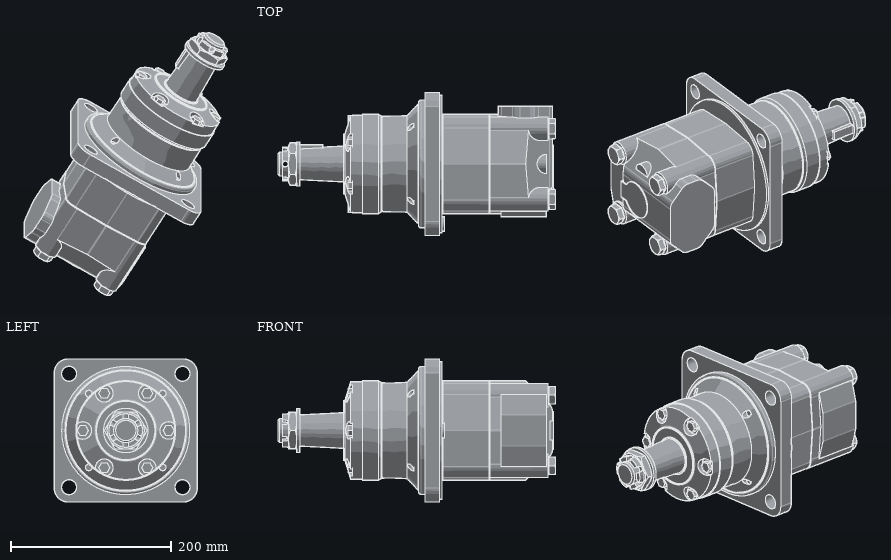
import cadquery as cq
import math


NUT_FRONT = 6.0
HEX_FRONT = 13.5
WASHER_FRONT = 23.5
TAPER_FRONT = 27.7
COVER_FRONT = 82.0
LEDGE_END = 84.0
CONE_END = 90.8
BAND_FRONT = 105.5
BAND_END = 125.5
HOUSING_FRONT = 129.0
NECK_END = 161.0
FLARE_END = 174.7
PILOT_FRONT = 175.5
FLANGE_FRONT = 183.5
FLANGE_BACK = 201.7
DISC_BACK = 205.0
GEAR_BACK = 263.5
SIDE_PAD_FRONT = 278.3
SIDE_PAD_BACK = 334.8
BOSS_END = 337.2
END_BACK = 342.8
TOTAL_LENGTH = 346.5

JOINT_GAP = 1.0
JOINT_D = 115.8
NECK_START = HOUSING_FRONT + JOINT_GAP
GEAR_FRONT = DISC_BACK + JOINT_GAP
END_FRONT = GEAR_BACK + JOINT_GAP

THREAD_D = 30.0
THREAD_CHAMFER = 2.5
TAPER_SMALL_D = 39.5
TAPER_LARGE_D = 45.0
COTTER_D = 7.0
COTTER_X = NUT_FRONT + COTTER_D / 2
KEY_LENGTH = 28.5
KEY_WIDTH = 12.0
KEY_TOP = 24.3
KEY_BOTTOM = 16.3
CASTLE_D = 42.0
SLOT_COUNT = 6
HEX_FLATS = 46.0
HEX_CHAMFER = 1.7
WASHER_D = 55.5

COVER_FACE_D = 75.0
LEDGE_D = 77.0
FACE_RECESS_D = 72.8
FACE_COLLAR_D = 48.5
FACE_RECESS_DEPTH = 1.5
COVER_D = 122.0
SCREW_COUNT = 6
SCREW_CIRCLE_D = 107.0
SCREW_POCKET_D = 22.0
SCREW_HEAD_FLATS = 12.0
SCREW_HEAD_FRONT = 87.7
SCREW_POCKET_FLOOR = 93.0

BAND_D = 124.5
BAND_BACK_D = 120.0

NECK_FRONT_D = 119.2
NECK_BACK_D = 120.5
FLARE_D = 149.0
PILOT_D = 159.8
PILOT_FILLET = 3.0
RELIEF_D = 151.0
RELIEF_DEPTH = 1.7
FLANGE_SIDE = 179.0
FLANGE_CORNER_R = 18.0
MOUNT_HOLE_D = 18.5
MOUNT_PITCH = 141.5
REAR_DISC_D = 172.0
FLARE_HOLE_COUNT = 4
FLARE_HOLE_ANGLE = 45
FLARE_HOLE_D = 8.3
FLARE_HOLE_CIRCLE_D = 130.3
FLARE_HOLE_FLOOR = 170.0
PLUG_D = 18.5
PLUG_HEIGHT = 3.0
PLUG_Y = -75.0

RIDGE = 62.0
CORNER_D = 28.8
CORNER_OFFSET = 44.0
BOSS_D = 29.5
RIDGE_FLAT = 1.0
ROOF_EDGE = (42.3, 58.5)
PORT_HALF_WIDTH = 34.0
PORT_HALF_HEIGHT = 50.3
PORT_FILLET = 13.0
PORT_X = END_BACK - PORT_HALF_WIDTH
SLOPE_REACH = 62.5
PORT_FACE_Y = 72.0
SIDE_PAD_ROOT = -34.5
SIDE_PAD_POINTS = [(-66.0, 19.0), (-59.0, 45.0)]
HUMP_D = 24.3
HUMP_Z = 35.7
RIB_WIDTH = 24.0
RIB_END = -31.5
END_DISC_D = 48.0
END_DISC_HEIGHT = 1.0

BOLT_FLATS = 22.2
BOLT_CHAMFER = 1.5
BOLT_COLLAR_D = 20.0
BOLT_COLLAR = 1.0


def cylinder(diameter, start, end, y=0, z=0):
    """Cylinder along X between two stations."""
    plane = cq.Workplane("YZ", origin=(start, 0, 0))
    return plane.center(y, z).circle(diameter / 2).extrude(end - start)


def turned(profile):
    """Solid of revolution about X from (station, radius) points; the ends close on the axis."""
    points = [(profile[0][0], 0), *profile, (profile[-1][0], 0)]
    return cq.Workplane("XY").polyline(points).close().revolve(360, (0, 0, 0), (1, 0, 0))


def ring_positions(count, circle_d, first_angle=0):
    """(y, z) places spread evenly on a circle about the axis."""
    angles = [math.radians(first_angle + 360 * i / count) for i in range(count)]
    return [(circle_d / 2 * math.cos(a), circle_d / 2 * math.sin(a)) for a in angles]


def corner_positions(offset):
    """(y, z) places at the four corners of a square about the axis."""
    return [(y, z) for y in (-offset, offset) for z in (-offset, offset)]


def corner_radius(across_flats):
    """Distance from the centre of a hexagon to its corners."""
    return across_flats / 2 / math.cos(math.pi / 6)


def hexagon(across_flats, start, end, y=0, z=0):
    """Hexagonal bar along X with corners pointing along Y."""
    corners_d = 2 * corner_radius(across_flats)
    plane = cq.Workplane("YZ", origin=(start, 0, 0))
    return plane.center(y, z).polygon(6, corners_d).extrude(end - start)


def cotter_hole():
    return cq.Workplane("XY").center(COTTER_X, 0).circle(COTTER_D / 2).extrude(CASTLE_D, both=True)


def make_key():
    plane = cq.Workplane("XY", origin=(TAPER_FRONT, KEY_BOTTOM, 0))
    return plane.box(KEY_LENGTH, KEY_TOP - KEY_BOTTOM, KEY_WIDTH, centered=(False, False, True))


def make_shaft():
    shaft = turned([
        (0, THREAD_D / 2 - THREAD_CHAMFER),
        (THREAD_CHAMFER, THREAD_D / 2),
        (TAPER_FRONT, THREAD_D / 2),
        (TAPER_FRONT, TAPER_SMALL_D / 2),
        (COVER_FRONT, TAPER_LARGE_D / 2),
        (HOUSING_FRONT, TAPER_LARGE_D / 2),
    ])
    return shaft.cut(cotter_hole()).cut(make_key())


def make_washer():
    return cylinder(WASHER_D, WASHER_FRONT, TAPER_FRONT).cut(cylinder(THREAD_D, WASHER_FRONT, TAPER_FRONT))


def make_nut():
    corner_r = corner_radius(HEX_FLATS)
    rounding = turned([
        (HEX_FRONT, corner_r - 2 * HEX_CHAMFER),
        (HEX_FRONT + HEX_CHAMFER, corner_r),
        (WASHER_FRONT - HEX_CHAMFER, corner_r),
        (WASHER_FRONT, corner_r - 2 * HEX_CHAMFER),
    ])
    nut = hexagon(HEX_FLATS, HEX_FRONT, WASHER_FRONT).intersect(rounding)
    nut = nut.union(cylinder(CASTLE_D, NUT_FRONT, HEX_FRONT))
    slot = (
        cq.Workplane("XY").center(NUT_FRONT, 0)
        .slot2D(2 * COTTER_D, COTTER_D).extrude(CASTLE_D)
    )
    for i in range(SLOT_COUNT):
        nut = nut.cut(slot.rotate((0, 0, 0), (1, 0, 0), 360 / SLOT_COUNT * i))
    return nut.cut(cylinder(THREAD_D, NUT_FRONT, WASHER_FRONT))


def make_front_cover():
    cover = turned([
        (COVER_FRONT, COVER_FACE_D / 2),
        (LEDGE_END, COVER_FACE_D / 2),
        (LEDGE_END, LEDGE_D / 2),
        (CONE_END, COVER_D / 2),
        (BAND_FRONT, COVER_D / 2),
        (BAND_FRONT, BAND_D / 2),
        (BAND_END, BAND_D / 2),
        (HOUSING_FRONT, BAND_BACK_D / 2),
    ])
    recess_floor = COVER_FRONT + FACE_RECESS_DEPTH
    recess = cylinder(FACE_RECESS_D, COVER_FRONT, recess_floor)
    cover = cover.cut(recess.cut(cylinder(FACE_COLLAR_D, COVER_FRONT, recess_floor)))
    for y, z in ring_positions(SCREW_COUNT, SCREW_CIRCLE_D):
        cover = cover.cut(cylinder(SCREW_POCKET_D, COVER_FRONT, SCREW_POCKET_FLOOR, y, z))
        cover = cover.union(hexagon(SCREW_HEAD_FLATS, SCREW_HEAD_FRONT, BAND_FRONT, y, z))
    return cover.cut(cylinder(TAPER_LARGE_D, COVER_FRONT, HOUSING_FRONT))


def make_housing():
    neck = turned([
        (HOUSING_FRONT, JOINT_D / 2),
        (NECK_START, JOINT_D / 2),
        (NECK_START, NECK_FRONT_D / 2),
        (NECK_END, NECK_BACK_D / 2),
        (FLARE_END, FLARE_D / 2),
        (FLANGE_FRONT, FLARE_D / 2),
    ])
    pilot = cylinder(PILOT_D, PILOT_FRONT, FLANGE_FRONT).faces("<X").edges().fillet(PILOT_FILLET)
    pilot = pilot.cut(cylinder(RELIEF_D, PILOT_FRONT, PILOT_FRONT + RELIEF_DEPTH))
    flange = (
        cq.Workplane("YZ", origin=(FLANGE_FRONT, 0, 0))
        .rect(FLANGE_SIDE, FLANGE_SIDE).extrude(FLANGE_BACK - FLANGE_FRONT)
        .edges("|X").fillet(FLANGE_CORNER_R)
    )
    for y, z in corner_positions(MOUNT_PITCH / 2):
        flange = flange.cut(cylinder(MOUNT_HOLE_D, FLANGE_FRONT, FLANGE_BACK, y, z))
    housing = neck.union(pilot).union(flange)
    housing = housing.union(cylinder(REAR_DISC_D, FLANGE_BACK, DISC_BACK))
    housing = housing.union(cylinder(JOINT_D, DISC_BACK, GEAR_FRONT))
    for y, z in ring_positions(FLARE_HOLE_COUNT, FLARE_HOLE_CIRCLE_D, FLARE_HOLE_ANGLE):
        housing = housing.cut(cylinder(FLARE_HOLE_D, NECK_END, FLARE_HOLE_FLOOR, y, z))
    return housing.union(cylinder(PLUG_D, DISC_BACK, DISC_BACK + PLUG_HEIGHT, PLUG_Y))


def make_gear_section():
    """Bowed square whose flat faces run tangent to the round corners."""
    corner_r = CORNER_D / 2
    rise = RIDGE - CORNER_OFFSET
    tilt = math.atan2(rise, CORNER_OFFSET) - math.asin(corner_r / math.hypot(rise, CORNER_OFFSET))
    near = CORNER_OFFSET + corner_r * math.sin(tilt)
    far = CORNER_OFFSET + corner_r * math.cos(tilt)
    middle = CORNER_OFFSET + corner_r * math.cos(math.pi / 4)
    outline = cq.Workplane("YZ", origin=(GEAR_FRONT, 0, 0)).moveTo(0, RIDGE)
    for sy, sz, upright in ((1, 1, False), (1, -1, True), (-1, -1, False), (-1, 1, True)):
        start, end = ((far, near), (near, far)) if upright else ((near, far), (far, near))
        ridge = (0, sz * RIDGE) if upright else (sy * RIDGE, 0)
        outline = outline.lineTo(sy * start[0], sz * start[1])
        outline = outline.threePointArc((sy * middle, sz * middle), (sy * end[0], sz * end[1]))
        outline = outline.lineTo(*ridge)
    return outline.close().extrude(GEAR_BACK - GEAR_FRONT)


def chamfered_block():
    """Long block along Y with 45 degree chamfers above and below its filleted rear edge."""
    outer = 2 * RIDGE
    w = PORT_HALF_WIDTH
    points = [
        (w, SLOPE_REACH - w),
        (SLOPE_REACH - outer, outer),
        (-outer, outer),
        (-outer, -outer),
        (SLOPE_REACH - outer, -outer),
        (w, w - SLOPE_REACH),
    ]
    plane = cq.Workplane("XZ", origin=(PORT_X, 0, 0))
    block = plane.polyline(points).close().extrude(outer, both=True)
    return block.faces(">X").edges("|Y").fillet(PORT_FILLET)


def side_chamfer():
    """Wedge that takes a 45 degree chamfer off the rear of the -Y side."""
    corner = (2 * RIDGE, -2 * RIDGE)
    points = [(SLOPE_REACH + corner[1], corner[1]), corner, (corner[0], corner[0] - SLOPE_REACH)]
    plane = cq.Workplane("XY", origin=(PORT_X, 0, 0))
    return plane.polyline(points).close().extrude(2 * RIDGE, both=True)


def make_port_pad():
    w = PORT_HALF_WIDTH
    h = PORT_HALF_HEIGHT
    side_corner = (w, SLOPE_REACH - w)
    top_corner = (SLOPE_REACH - h, h)
    points = [
        side_corner,
        top_corner,
        (-top_corner[0], h),
        (-w, side_corner[1]),
        (-w, -side_corner[1]),
        (-top_corner[0], -h),
        (top_corner[0], -h),
        (w, -side_corner[1]),
    ]
    plane = cq.Workplane("XZ", origin=(PORT_X, PORT_FACE_Y, 0))
    return plane.polyline(points).close().extrude(PORT_FACE_Y).edges("|Y").fillet(PORT_FILLET)


def make_side_pad():
    points = SIDE_PAD_POINTS + [(SIDE_PAD_ROOT, SIDE_PAD_POINTS[1][1])]
    points += [(y, -z) for y, z in reversed(points)]
    plane = cq.Workplane("YZ", origin=(SIDE_PAD_FRONT, 0, 0))
    return plane.polyline(points).close().extrude(SIDE_PAD_BACK - SIDE_PAD_FRONT)


def make_bolt_head(y, z):
    head_front = BOSS_END + BOLT_COLLAR
    corner_r = corner_radius(BOLT_FLATS)
    rounding = turned([
        (head_front, corner_r),
        (TOTAL_LENGTH - BOLT_CHAMFER, corner_r),
        (TOTAL_LENGTH, corner_r - BOLT_CHAMFER),
    ])
    head = hexagon(BOLT_FLATS, head_front, TOTAL_LENGTH).intersect(rounding)
    return head.union(cylinder(BOLT_COLLAR_D, BOSS_END, head_front)).translate((0, y, z))


def make_end_cover():
    a, b = ROOF_EDGE
    f = RIDGE_FLAT / 2
    corner = [(f, RIDGE), (a, b), (b, a), (RIDGE, f)]
    outline = corner + [(y, -z) for y, z in reversed(corner)]
    outline += [(-y, z) for y, z in reversed(outline)]
    prism = (
        cq.Workplane("YZ", origin=(END_FRONT, 0, 0))
        .polyline(outline).close().extrude(END_BACK - END_FRONT)
    )
    cover = prism.intersect(chamfered_block()).cut(side_chamfer())
    cover = cover.union(make_port_pad()).union(make_side_pad())
    cover = cover.union(cylinder(HUMP_D, END_FRONT, SIDE_PAD_BACK, 0, HUMP_Z))
    cover = cover.union(cylinder(JOINT_D, GEAR_BACK, END_FRONT))
    disc_end = END_BACK + END_DISC_HEIGHT
    cover = cover.union(cylinder(END_DISC_D, END_FRONT, disc_end))
    rib = cq.Workplane("XY", origin=(END_FRONT, RIB_END, 0)).box(
        disc_end - END_FRONT, -RIB_END, RIB_WIDTH, centered=(False, False, True)
    )
    cover = cover.union(rib)
    for y, z in corner_positions(CORNER_OFFSET):
        cover = cover.union(cylinder(BOSS_D, END_FRONT, BOSS_END, y, z))
        cover = cover.union(make_bolt_head(y, z))
    return cover


shaft = make_shaft()
key = make_key()
washer = make_washer()
nut = make_nut()
front_cover = make_front_cover()
housing = make_housing()
gear_section = make_gear_section()
end_cover = make_end_cover()

result = cq.Compound.makeCompound([
    shaft.val(),
    key.val(),
    washer.val(),
    nut.val(),
    front_cover.val(),
    housing.val(),
    gear_section.val(),
    end_cover.val(),
])